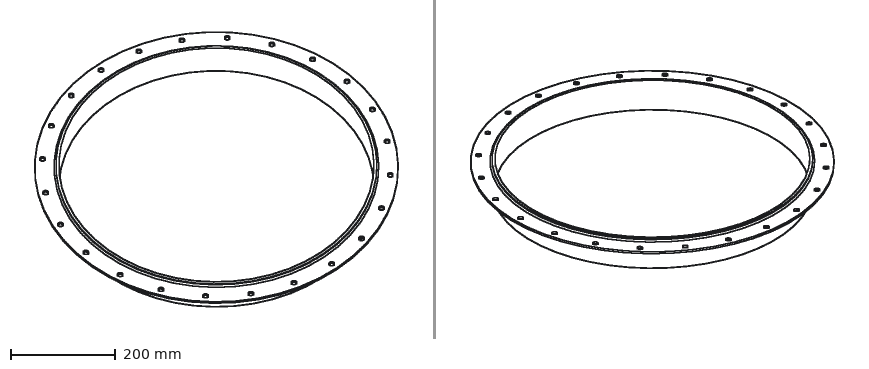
import cadquery as cq

flange_diameter = 695.0
flange_thickness = 4.0
tube_outer_diameter = 614.0
tube_inner_diameter = 602.0
tube_height = 65.0
rim_height = 5.5
weld_leg = 3.5
bolt_circle_diameter = 666.0
bolt_hole_diameter = 10.5
bolt_count = 24

flange_radius = flange_diameter / 2
tube_outer_radius = tube_outer_diameter / 2
tube_inner_radius = tube_inner_diameter / 2
flange_top = tube_height - rim_height
flange_bottom = flange_top - flange_thickness


def make_collar():
    """Revolve the tube, flange and weld bead as one section about Z."""
    section = [
        (tube_inner_radius, 0),
        (tube_outer_radius, 0),
        (tube_outer_radius, flange_bottom),
        (flange_radius, flange_bottom),
        (flange_radius, flange_top),
        (tube_outer_radius + weld_leg, flange_top),
        (tube_outer_radius, flange_top + weld_leg),
        (tube_outer_radius, tube_height),
        (tube_inner_radius, tube_height),
    ]
    return cq.Workplane("XZ").polyline(section).close().revolve(360, (0, 0), (0, 1))


def make_bolt_holes():
    """Cutters through the flange, evenly spaced with the first on +X."""
    return (
        cq.Workplane("XY")
        .workplane(offset=flange_bottom)
        .polarArray(bolt_circle_diameter / 2, 0, 360, bolt_count)
        .circle(bolt_hole_diameter / 2)
        .extrude(flange_thickness)
    )


result = make_collar().cut(make_bolt_holes())